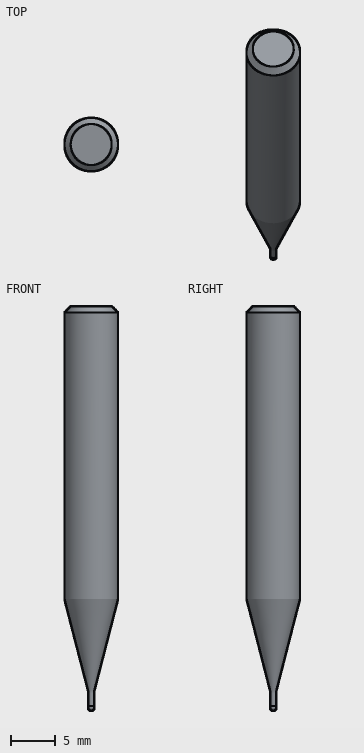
import cadquery as cq
import math

total_length = 45.0
shank_diameter_ratio = 2 / 15
shank_radius = total_length * shank_diameter_ratio / 2
shank_chamfer = 0.7

neck_radius = 0.338
blend_start = 2.0
taper_start = 2.3
taper_half_angle = math.radians(14.5)
taper_tip_radius = neck_radius + (taper_start - blend_start) * math.tan(taper_half_angle / 2)
shank_start = taper_start + (shank_radius - taper_tip_radius) / math.tan(taper_half_angle)

ball_radius = 0.35
cutter_length = 0.55


def make_shank():
    """Chamfered shank, long taper, arc blend and slender neck, turned as one solid."""
    profile = (
        cq.Workplane("XZ")
        .moveTo(0, cutter_length)
        .lineTo(neck_radius, cutter_length)
        .lineTo(neck_radius, blend_start)
        .tangentArcPoint((taper_tip_radius, taper_start), relative=False)
        .lineTo(shank_radius, shank_start)
        .lineTo(shank_radius, total_length - shank_chamfer)
        .lineTo(shank_radius - shank_chamfer, total_length)
        .lineTo(0, total_length)
        .close()
    )
    return profile.revolve(360, (0, 0), (0, 1))


def make_cutter():
    """Cylindrical cutter ending in a hemispherical nose at the origin."""
    arc_middle = ball_radius * math.sqrt(0.5)
    profile = (
        cq.Workplane("XZ")
        .threePointArc((arc_middle, ball_radius - arc_middle), (ball_radius, ball_radius))
        .lineTo(ball_radius, cutter_length)
        .lineTo(0, cutter_length)
        .close()
    )
    return profile.revolve(360, (0, 0), (0, 1))


shank = make_shank()
cutter = make_cutter()
result = cq.Compound.makeCompound([shank.val(), cutter.val()])